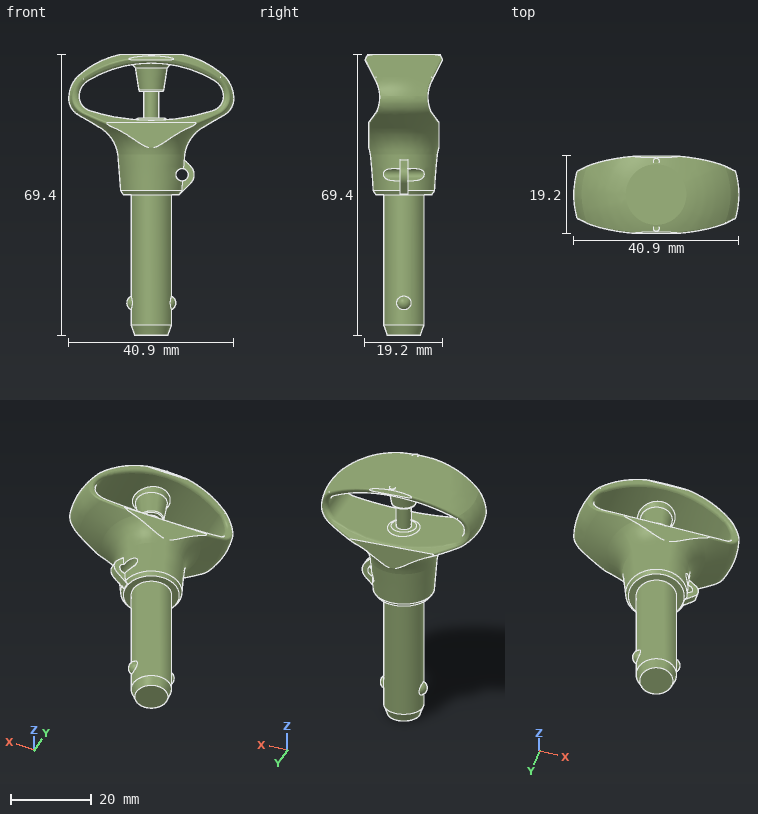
import cadquery as cq
import math


shank_radius = 5.0
shank_length = 34.7
shank_tip_radius = 4.1
shank_tip_height = 2.5

ball_radius = 1.85
ball_reach = 6.07
ball_height_above_tip = 8.0

handle_top = 34.7
top_flat_radius = 7.5
dome_edge_radius = 18.4
dome_edge_z = 29.06
dome_middle_radius = 13.2
dome_middle_z = 32.72
handle_radius = 20.42
rim_middle_z = 24.3
underside_start_radius = 18.0
underside_start_z = 19.65
flare_start_radius = 12.2
flare_start_z = 16.25
flare_middle_radius = 9.85
flare_middle_z = 13.9
collar_top_radius = 8.3
collar_top_z = 9.9
collar_bottom_radius = 7.6
collar_chamfer_height = 1.0
collar_end_radius = 6.9

lower_half_width = 8.7
lower_slope_start_z = 17.85
waist_start_half_width = 6.75
waist_start_z = 20.5
waist_corner_radius = 2.0
waist_half_width = 6.0
waist_z = 24.2
waist_end_half_width = 6.94
waist_end_z = 28.1
upper_half_width = 9.6
upper_slope_end_z = 33.3
crown_half_width = 9.1
crown_z = 34.4

window_ceiling_z = 32.5
window_ceiling_radius = 30.3
window_floor_z = 18.4
window_floor_radius = 49.0
window_half_length = 17.78
window_edge_fillet = 1.0
rim_edge_fillet = 0.5

stem_radius = 1.88
button_bottom_z = 25.5
button_bottom_radius = 2.9
button_taper_start_z = 25.85
button_taper_start_radius = 3.1
button_top_z = 31.3
button_top_radius = 3.95
button_flare_radius = 4.9
seat_base_radius = 4.3
seat_top_radius = 3.15
seat_top_z = 19.0

stud_radius = 0.75
stud_offset = top_flat_radius + stud_radius
stud_top_z = 34.6

tab_hole_x = 7.6
tab_hole_z = 4.95
tab_hole_radius = 1.5
tab_radius = 3.0
tab_thickness = 2.0
tab_root_x = 7.0

overlap = 1.0

skin_tolerance = 0.001


def make_envelope():
    """Turned outline of the collar and handle, with its seam on the side away from the tab."""
    profile = (
        cq.Workplane("XZ")
        .moveTo(0, 0)
        .lineTo(collar_end_radius, 0)
        .lineTo(collar_bottom_radius, collar_chamfer_height)
        .lineTo(collar_top_radius, collar_top_z)
        .threePointArc((flare_middle_radius, flare_middle_z), (flare_start_radius, flare_start_z))
        .lineTo(underside_start_radius, underside_start_z)
        .tangentArcPoint((handle_radius, rim_middle_z), relative=False)
        .tangentArcPoint((dome_edge_radius, dome_edge_z), relative=False)
        .threePointArc((dome_middle_radius, dome_middle_z), (top_flat_radius, handle_top))
        .lineTo(0, handle_top)
        .close()
    )
    return profile.revolve(360, (0, 0, 0), (0, 1, 0)).mirror("YZ")


def make_side_profile():
    """Prism along X that gives the handle its waisted width."""
    profile = (
        cq.Workplane("YZ")
        .moveTo(0, 0)
        .lineTo(lower_half_width, 0)
        .lineTo(lower_half_width, lower_slope_start_z)
        .lineTo(waist_start_half_width, waist_start_z)
        .threePointArc((waist_half_width, waist_z), (waist_end_half_width, waist_end_z))
        .lineTo(upper_half_width, upper_slope_end_z)
        .lineTo(crown_half_width, crown_z)
        .lineTo(crown_half_width, handle_top + overlap)
        .lineTo(0, handle_top + overlap)
        .close()
    )
    half = profile.extrude(handle_radius + overlap, both=True)
    prism = half.union(half.mirror("XZ"))
    waist_corners = cq.selectors.BoxSelector(
        (-overlap, -upper_half_width, waist_start_z - skin_tolerance),
        (overlap, upper_half_width, waist_start_z + skin_tolerance),
    )
    return prism.edges(waist_corners).fillet(waist_corner_radius)


def window_corner(broad_radius, broad_crown_z, direction):
    """Middle and inner end of the corner arc that is upright at the window's end and runs smoothly
    into the broad ceiling (direction +1) or floor (direction -1)."""
    centre_drop = broad_radius - direction * (broad_crown_z - rim_middle_z)
    corner_radius = (broad_radius**2 - window_half_length**2 - centre_drop**2) / (
        2 * (broad_radius - window_half_length)
    )
    centre_x = window_half_length - corner_radius
    end_angle = math.atan2(centre_drop, centre_x)

    def point_at(angle):
        x = centre_x + corner_radius * math.cos(angle)
        z = rim_middle_z + direction * corner_radius * math.sin(angle)
        return (x, z)

    return point_at(end_angle / 2), point_at(end_angle)


def mirrored(point):
    return (-point[0], point[1])


def make_window():
    upper_middle, upper_end = window_corner(window_ceiling_radius, window_ceiling_z, 1)
    lower_middle, lower_end = window_corner(window_floor_radius, window_floor_z, -1)
    profile = (
        cq.Workplane("XZ")
        .moveTo(*mirrored(upper_end))
        .threePointArc((0, window_ceiling_z), upper_end)
        .threePointArc(upper_middle, (window_half_length, rim_middle_z))
        .threePointArc(lower_middle, lower_end)
        .threePointArc((0, window_floor_z), mirrored(lower_end))
        .threePointArc(mirrored(lower_middle), (-window_half_length, rim_middle_z))
        .threePointArc(mirrored(upper_middle), mirrored(upper_end))
        .close()
    )
    return profile.extrude(upper_half_width + overlap, both=True)


def shared_edges(body, first, second):
    """Edges of body whose middle lies on the skins of both other shapes."""
    skins = [first.val().Shells()[0], second.val().Shells()[0]]

    def on_both_skins(edge):
        middle = cq.Vertex.makeVertex(*edge.positionAt(0.5).toTuple())
        return all(skin.distance(middle) < skin_tolerance for skin in skins)

    return body.edges().filter(on_both_skins)


def is_rim_edge(edge):
    return lower_slope_start_z < edge.Center().z < upper_slope_end_z


def make_handle():
    envelope = make_envelope()
    side_profile = make_side_profile()
    window = make_window()
    handle = envelope.intersect(side_profile)
    rim_edges = shared_edges(handle, envelope, side_profile).filter(is_rim_edge)
    handle = rim_edges.fillet(rim_edge_fillet).cut(window)
    return shared_edges(handle, window, side_profile).fillet(window_edge_fillet)


def make_shank():
    profile = (
        cq.Workplane("XZ")
        .moveTo(0, overlap)
        .lineTo(shank_radius, overlap)
        .lineTo(shank_radius, shank_tip_height - shank_length)
        .lineTo(shank_tip_radius, -shank_length)
        .lineTo(0, -shank_length)
        .close()
    )
    return profile.revolve(360, (0, 0, 0), (0, 1, 0))


def make_ball(side):
    ball_x = side * (ball_reach - ball_radius)
    ball_z = ball_height_above_tip - shank_length
    return cq.Workplane("XY").sphere(ball_radius).translate((ball_x, 0, ball_z))


def make_release_button():
    """Seat, stem and tapered button, turned about Z."""
    profile = (
        cq.Workplane("XZ")
        .moveTo(0, window_floor_z - overlap)
        .lineTo(seat_base_radius, window_floor_z - overlap)
        .lineTo(seat_base_radius, window_floor_z)
        .lineTo(seat_top_radius, seat_top_z)
        .lineTo(stem_radius, seat_top_z)
        .lineTo(stem_radius, button_bottom_z)
        .lineTo(button_bottom_radius, button_bottom_z)
        .lineTo(button_taper_start_radius, button_taper_start_z)
        .lineTo(button_top_radius, button_top_z)
        .lineTo(button_flare_radius, window_ceiling_z)
        .lineTo(button_flare_radius, window_ceiling_z + overlap)
        .lineTo(0, window_ceiling_z + overlap)
        .close()
    )
    return profile.revolve(360, (0, 0, 0), (0, 1, 0))


def make_stud(side):
    stud = cq.Workplane("XY").circle(stud_radius).extrude(-overlap)
    return stud.translate((0, side * stud_offset, stud_top_z))


def make_tab():
    """Round eye blended into the collar by two straight flanks."""
    reach = tab_radius * math.sqrt(0.5)
    run = tab_hole_x + reach - tab_root_x
    profile = (
        cq.Workplane("XZ")
        .moveTo(tab_root_x, tab_hole_z - reach)
        .lineTo(tab_root_x, tab_hole_z - reach - run)
        .lineTo(tab_hole_x + reach, tab_hole_z - reach)
        .threePointArc((tab_hole_x + tab_radius, tab_hole_z), (tab_hole_x + reach, tab_hole_z + reach))
        .lineTo(tab_root_x, tab_hole_z + reach + run)
        .close()
    )
    return profile.extrude(tab_thickness / 2, both=True)


def make_tab_hole():
    hole = cq.Workplane("XZ").center(tab_hole_x, tab_hole_z).circle(tab_hole_radius)
    return hole.extrude(lower_half_width + overlap, both=True)


result = make_handle().union(make_tab()).cut(make_tab_hole())
result = result.union(make_shank()).union(make_release_button())
for side in (-1, 1):
    result = result.union(make_ball(side)).union(make_stud(side))